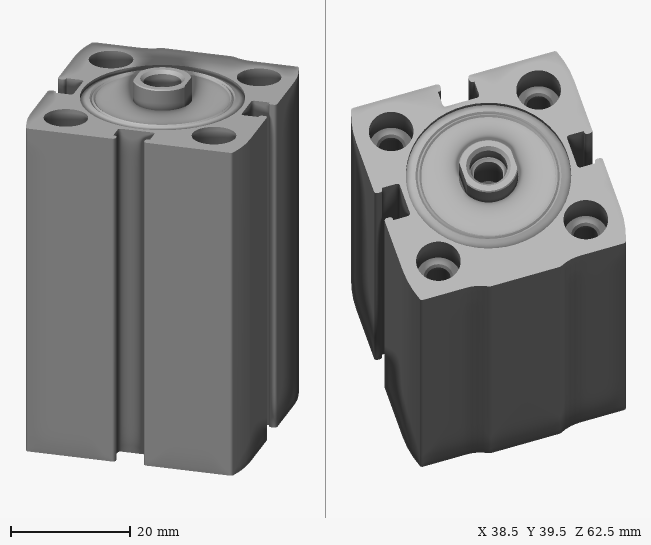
import cadquery as cq
import math

total_height = 62.5
rod_protrusion = 3.5
housing_height = total_height - rod_protrusion
housing_width = 38.5
half_width = housing_width / 2

bow_start = 12.75
bow_radius = 18.4
corner_fillet = 0.5

pad_height = 1.0
pad_half_width = 6.25
pad_foot_half_width = 10.0
pad_edge_fillet = 1.0

slot_depth = 4.5
slot_inner_width = 6.45
slot_mouth_width = 5.0
slot_lip_depth = 1.45
slot_lip_fillet = 0.5
slot_corner_fillet = 0.5

mount_spacing = 26.0
mount_hole_diameter = 4.1
mount_countersink_diameter = 4.95
counterbore_diameter = 7.5
counterbore_depth = 5.6

groove_diameter = 27.8
groove_depth = 0.75
rim_diameter = 24.5
seam_diameter = 23.9
seam_depth = 0.25
ridge_diameter = 23.25
cap_face_diameter = 22.6
cap_face_depth = 0.25

rod_diameter = 10.0
rod_flat_width = 9.0
rod_length = 25.0
rod_flat_length = 4.5
rod_chamfer = 0.2
rod_bottom = total_height - rod_length

rod_mouth_diameter = 7.5
rod_bore_diameter = 6.4
rod_bore_depth = 2.9
rod_sink_diameter = 6.0
rod_tap_diameter = 4.95
rod_tap_depth = 10.0
drill_half_angle = math.radians(60)


def cone_height(large_diameter, small_diameter, half_angle):
    """Axial length of a cone between two diameters."""
    return (large_diameter - small_diameter) / 2 / math.tan(half_angle)


def revolve_profile(points):
    """Solid of revolution about Z from a closed (radius, height) outline."""
    return cq.Workplane("XZ").polyline(points).close().revolve(360, (0, 0), (0, 1))


def side_bow():
    """Housing block whose X sides are flat in the middle and bow inward toward both Y ends."""
    bow_run = half_width - bow_start
    bow_angle = math.asin(bow_run / bow_radius)
    end_x = half_width - bow_radius * (1 - math.cos(bow_angle))
    middle_x = half_width - bow_radius * (1 - math.cos(bow_angle / 2))
    middle_y = bow_start + bow_radius * math.sin(bow_angle / 2)
    return (
        cq.Workplane("XY")
        .moveTo(-half_width, -bow_start)
        .threePointArc((-middle_x, -middle_y), (-end_x, -half_width))
        .lineTo(end_x, -half_width)
        .threePointArc((middle_x, -middle_y), (half_width, -bow_start))
        .lineTo(half_width, bow_start)
        .threePointArc((middle_x, middle_y), (end_x, half_width))
        .lineTo(-end_x, half_width)
        .threePointArc((-middle_x, middle_y), (-half_width, bow_start))
        .close()
        .extrude(housing_height)
        .edges("|Z and (>Y or <Y)")
        .fillet(corner_fillet)
    )


def raised_pad():
    """Pad on the +Y side, joined by arcs tangent to the side and rounded at its edges."""
    foot_run = pad_foot_half_width - pad_half_width
    foot_radius = (foot_run**2 + pad_height**2) / (2 * pad_height)
    foot_center_y = half_width + foot_radius
    middle_angle = math.asin(foot_run / foot_radius) / 2
    middle_x = pad_foot_half_width - foot_radius * math.sin(middle_angle)
    middle_y = foot_center_y - foot_radius * math.cos(middle_angle)
    top_y = half_width + pad_height
    return (
        cq.Workplane("XY")
        .moveTo(-pad_foot_half_width, 0)
        .lineTo(pad_foot_half_width, 0)
        .lineTo(pad_foot_half_width, half_width)
        .threePointArc((middle_x, middle_y), (pad_half_width, top_y))
        .lineTo(-pad_half_width, top_y)
        .threePointArc((-middle_x, middle_y), (-pad_foot_half_width, half_width))
        .close()
        .extrude(housing_height)
        .edges("|Z and >Y")
        .fillet(pad_edge_fillet)
    )


def t_slot(angle):
    """Full-height T-slot cutter for the -Y side, turned about Z by the given angle."""
    pocket_depth = slot_depth - slot_lip_depth
    pocket = (
        cq.Workplane("XY")
        .center(0, -half_width + slot_lip_depth + pocket_depth / 2)
        .rect(slot_inner_width, pocket_depth)
        .extrude(housing_height)
        .edges("|Z and >Y")
        .fillet(slot_corner_fillet)
    )
    lip_edge = slot_mouth_width / 2
    lip_round = slot_lip_fillet
    round_offset = lip_round * (1 - math.sqrt(0.5))
    outer_y = -half_width
    shoulder_y = -half_width + slot_lip_depth
    mouth = (
        cq.Workplane("XY")
        .moveTo(-lip_edge - lip_round, outer_y)
        .lineTo(lip_edge + lip_round, outer_y)
        .threePointArc((lip_edge + round_offset, outer_y + round_offset), (lip_edge, outer_y + lip_round))
        .lineTo(lip_edge, shoulder_y - lip_round)
        .threePointArc(
            (lip_edge + round_offset, shoulder_y - round_offset),
            (lip_edge + lip_round, shoulder_y),
        )
        .lineTo(-lip_edge - lip_round, shoulder_y)
        .threePointArc(
            (-lip_edge - round_offset, shoulder_y - round_offset),
            (-lip_edge, shoulder_y - lip_round),
        )
        .lineTo(-lip_edge, outer_y + lip_round)
        .threePointArc((-lip_edge - round_offset, outer_y + round_offset), (-lip_edge - lip_round, outer_y))
        .close()
        .extrude(housing_height)
    )
    return pocket.union(mouth).rotate((0, 0, 0), (0, 0, 1), angle)


def mounting_hole():
    """Cutter on the Z axis: through hole, 45 degree countersink and counterbore."""
    floor_z = housing_height - counterbore_depth
    hole_radius = mount_hole_diameter / 2
    sink_radius = mount_countersink_diameter / 2
    bore_radius = counterbore_diameter / 2
    return revolve_profile([
        (0, 0),
        (hole_radius, 0),
        (hole_radius, floor_z - (sink_radius - hole_radius)),
        (sink_radius, floor_z),
        (bore_radius, floor_z),
        (bore_radius, housing_height),
        (0, housing_height),
    ])


def cap_groove():
    """Ring cutter with an outer vertical wall and a floor that slopes up to the cap rim."""
    return revolve_profile([
        (rim_diameter / 2, housing_height),
        (groove_diameter / 2, housing_height - groove_depth),
        (groove_diameter / 2, housing_height),
    ])


def cap_seam():
    """V-groove cutter between the rim and the inner ridge of the cap."""
    return revolve_profile([
        (ridge_diameter / 2, housing_height),
        (seam_diameter / 2, housing_height - seam_depth),
        (rim_diameter / 2, housing_height),
    ])


def cap_recess():
    """Shallow dished cutter that sinks the cap face below the inner ridge."""
    face_z = housing_height - cap_face_depth
    return revolve_profile([
        (0, face_z),
        (cap_face_diameter / 2, face_z),
        (ridge_diameter / 2, housing_height),
        (0, housing_height),
    ])


def rod_cylinder():
    """Full round envelope of the rod, also the shape of the blind recess that it sits in."""
    return (
        cq.Workplane("XY")
        .workplane(offset=rod_bottom)
        .circle(rod_diameter / 2)
        .extrude(rod_length)
    )


def rod_flat_cutter():
    """Cutter for the +X wrench flat, whose lower end runs out at 45 degrees."""
    flat_x = rod_flat_width / 2
    outer_x = rod_diameter / 2
    flat_end_z = total_height - rod_flat_length
    return (
        cq.Workplane("XZ")
        .polyline([
            (flat_x, total_height),
            (flat_x, flat_end_z),
            (outer_x, flat_end_z - (outer_x - flat_x)),
            (outer_x, total_height),
        ])
        .close()
        .extrude(rod_diameter / 2, both=True)
    )


def rod_end_hole():
    """Cutter for the rod end: chamfered mouth, bore, step and countersunk tap hole."""
    mouth_radius = rod_mouth_diameter / 2
    bore_radius = rod_bore_diameter / 2
    sink_radius = rod_sink_diameter / 2
    tap_radius = rod_tap_diameter / 2
    step_z = total_height - rod_bore_depth
    tap_start_z = step_z - cone_height(rod_sink_diameter, rod_tap_diameter, drill_half_angle)
    tap_end_z = total_height - rod_tap_depth
    tip_z = tap_end_z - cone_height(rod_tap_diameter, 0, drill_half_angle)
    return revolve_profile([
        (0, tip_z),
        (tap_radius, tap_end_z),
        (tap_radius, tap_start_z),
        (sink_radius, step_z),
        (bore_radius, step_z),
        (bore_radius, total_height - (mouth_radius - bore_radius)),
        (mouth_radius, total_height),
        (0, total_height),
    ])


def build_rod():
    """Round rod with a chamfered end, two wrench flats and a stepped end hole."""
    rod = rod_cylinder().faces(">Z").chamfer(rod_chamfer)
    for flat_angle in (0, 180):
        rod = rod.cut(rod_flat_cutter().rotate((0, 0, 0), (0, 0, 1), flat_angle))
    return rod.cut(rod_end_hole())


housing = side_bow().union(raised_pad())
for slot_angle in (-90, 0, 90):
    housing = housing.cut(t_slot(slot_angle))
mount_offset = mount_spacing / 2
for side_x in (-1, 1):
    for side_y in (-1, 1):
        hole_place = (side_x * mount_offset, side_y * mount_offset, 0)
        housing = housing.cut(mounting_hole().translate(hole_place))
housing = housing.cut(cap_groove()).cut(cap_seam()).cut(cap_recess())
housing = housing.cut(rod_cylinder())

piston_rod = build_rod()

result = cq.Compound.makeCompound([housing.val(), piston_rod.val()])